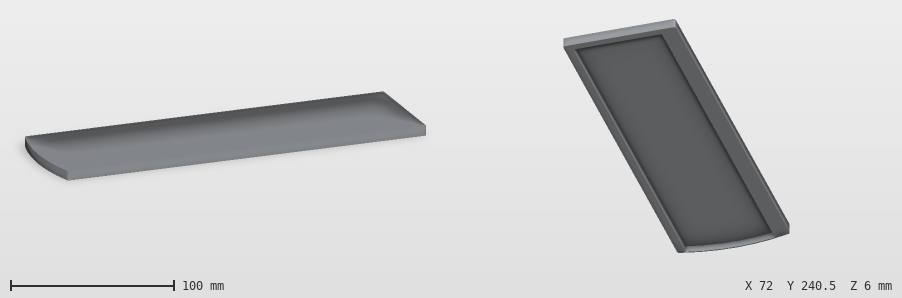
import cadquery as cq
import math

length = 240.5
width = 72.0
thickness = 6.0
bow_height = 5.0
corner_radius = 1.5

roof = 2.0
bow_wall = 1.0
left_wall = 10.0
right_wall = 5.0
back_wall = right_wall

half_width = width / 2
back_y = length / 2
bow_tip_y = -length / 2
bow_radius = (half_width**2 + bow_height**2) / (2 * bow_height)
bow_center_y = bow_tip_y + bow_radius


def bowed_block(left_x, right_x, end_y, radius, height):
    """Block from Z = 0 with a square +Y end and an arc about the bow centre at -Y."""

    def arc_y(x):
        return bow_center_y - math.sqrt(radius**2 - x**2)

    return (
        cq.Workplane("XY")
        .moveTo(left_x, end_y)
        .lineTo(left_x, arc_y(left_x))
        .threePointArc((0, arc_y(0)), (right_x, arc_y(right_x)))
        .lineTo(right_x, end_y)
        .close()
        .extrude(height)
    )


plate = bowed_block(-half_width, half_width, back_y, bow_radius, thickness)
plate = plate.edges("|Z").fillet(corner_radius)

pocket = bowed_block(
    left_wall - half_width,
    half_width - right_wall,
    back_y - back_wall,
    bow_radius - bow_wall,
    thickness - roof,
)

result = plate.cut(pocket)